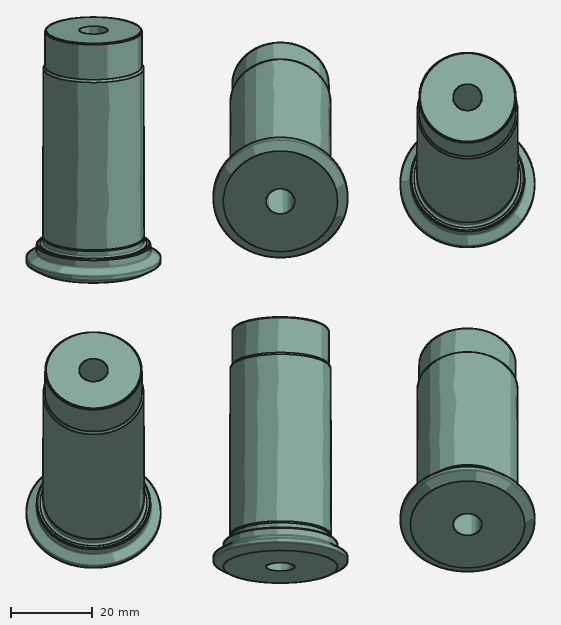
import cadquery as cq
import math

TOTAL_HEIGHT = 60.5
FLANGE_DIAMETER = 33.0
COLLAR_DIAMETER = 28.0
BODY_BOTTOM_DIAMETER = 24.9
BODY_TOP_DIAMETER = 24.7
SPIGOT_DIAMETER = 23.8
BORE_DIAMETER = 7.0

FLANGE_HEIGHT = 4.0
FLANGE_SLOPE = math.radians(30)
CONE_HEIGHT = (FLANGE_DIAMETER - COLLAR_DIAMETER) / 2 * math.tan(FLANGE_SLOPE)
RIM_FILLET = 0.3
COLLAR_ROOT_FILLET = 0.3

COLLAR_TOP = 6.05
COLLAR_CHAMFER = 0.3

RELIEF_TOP = 8.0
RELIEF_DEPTH = 0.15
RELIEF_LEAD_IN = 0.4
RELIEF_FACE_DEPTH = 0.1
RELIEF_FILLET = 0.5

BODY_TOP = 50.7
SHOULDER_CHAMFER_HEIGHT = 0.6
SPIGOT_CHAMFER = 0.3

EDGE_SEARCH_MARGIN = 0.01


def outer_profile():
    """Half section of the solid body in the XZ plane, closed along the axis."""
    flange_radius = FLANGE_DIAMETER / 2
    collar_radius = COLLAR_DIAMETER / 2
    body_bottom_radius = BODY_BOTTOM_DIAMETER / 2
    body_top_radius = BODY_TOP_DIAMETER / 2
    spigot_radius = SPIGOT_DIAMETER / 2
    relief_radius = body_bottom_radius - RELIEF_DEPTH
    groove_bottom = COLLAR_TOP - RELIEF_FACE_DEPTH
    arc_center_radius = relief_radius + RELIEF_FILLET
    arc_center_height = groove_bottom + RELIEF_FILLET
    arc_half_width = math.sqrt(RELIEF_FILLET**2 - (arc_center_height - COLLAR_TOP) ** 2)

    return (
        cq.Workplane("XZ")
        .moveTo(0, 0)
        .lineTo(collar_radius, 0)
        .lineTo(flange_radius, CONE_HEIGHT)
        .lineTo(flange_radius, FLANGE_HEIGHT - CONE_HEIGHT)
        .lineTo(collar_radius, FLANGE_HEIGHT)
        .lineTo(collar_radius, COLLAR_TOP - COLLAR_CHAMFER)
        .lineTo(collar_radius - COLLAR_CHAMFER, COLLAR_TOP)
        .lineTo(arc_center_radius + arc_half_width, COLLAR_TOP)
        .radiusArc((relief_radius, arc_center_height), RELIEF_FILLET)
        .lineTo(relief_radius, RELIEF_TOP - RELIEF_LEAD_IN)
        .lineTo(body_bottom_radius, RELIEF_TOP)
        .lineTo(body_top_radius, BODY_TOP)
        .lineTo(spigot_radius, BODY_TOP + SHOULDER_CHAMFER_HEIGHT)
        .lineTo(spigot_radius, TOTAL_HEIGHT - SPIGOT_CHAMFER)
        .lineTo(spigot_radius - SPIGOT_CHAMFER, TOTAL_HEIGHT)
        .lineTo(0, TOTAL_HEIGHT)
        .close()
    )


def bore():
    """Plain hole through the full height."""
    return cq.Workplane("XY").circle(BORE_DIAMETER / 2).extrude(TOTAL_HEIGHT)


def fillet_ring(solid, height, radius):
    """Round the one circular edge that lies at the given height."""
    reach = FLANGE_DIAMETER
    ring = cq.selectors.BoxSelector(
        (-reach, -reach, height - EDGE_SEARCH_MARGIN),
        (reach, reach, height + EDGE_SEARCH_MARGIN),
        boundingbox=True,
    )
    return solid.edges("%CIRCLE").edges(ring).fillet(radius)


body = outer_profile().revolve(360, (0, 0, 0), (0, 1, 0))
body = fillet_ring(body, CONE_HEIGHT, RIM_FILLET)
body = fillet_ring(body, FLANGE_HEIGHT - CONE_HEIGHT, RIM_FILLET)
body = fillet_ring(body, FLANGE_HEIGHT, COLLAR_ROOT_FILLET)
result = body.cut(bore())